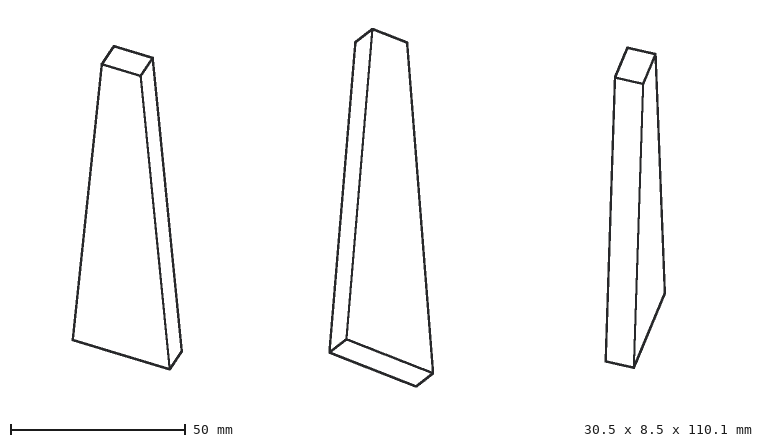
import cadquery as cq

height = 110.1
base_width = 30.5
top_width = 12.2
thickness = 8.5

profile = [
    (-base_width / 2, 0),
    (base_width / 2, 0),
    (top_width / 2, height),
    (-top_width / 2, height),
]

result = cq.Workplane("XZ").polyline(profile).close().extrude(thickness / 2, both=True)